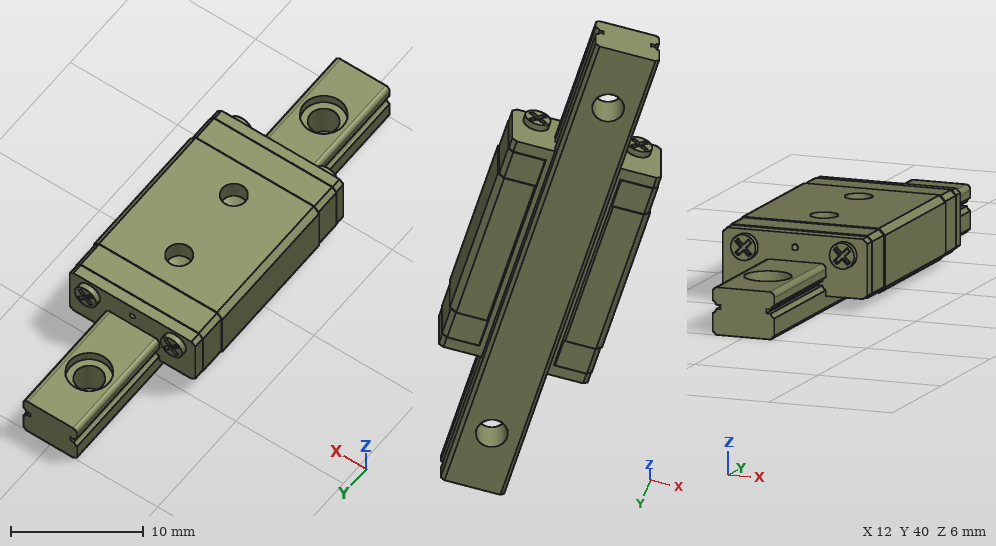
import cadquery as cq
import math

RAIL_LENGTH = 40.0
RAIL_WIDTH = 5.0
RAIL_HEIGHT = 3.7
RAIL_TOP_RADIUS = 0.4
RAIL_BOTTOM_CHAMFER = 0.3

GROOVE_Z = 2.15
GROOVE_RADIUS = 0.55
GROOVE_AXIS_OFFSET = 0.25
SLOT_HEIGHT = 0.3
SLOT_DEPTH = 0.65

RAIL_HOLE_PITCH = 30.0
RAIL_HOLE_DIAMETER = 2.4
COUNTERBORE_DIAMETER = 3.6
COUNTERBORE_DEPTH = 0.8

BLOCK_LENGTH = 12.4
CAPS_LENGTH = 17.1
PLATES_LENGTH = 18.95
BLOCK_WIDTH = 12.0
CAP_WIDTH = 11.8
PLATE_WIDTH = 11.7
CARRIAGE_TOP = 6.0
CAP_TOP = 5.9
PLATE_TOP = 5.85
BLOCK_BOTTOM = 1.0
CAP_BOTTOM = 1.1
PLATE_BOTTOM = 1.2
FACE_WIDTH = 11.0
BEVEL_HEIGHT = 0.5
SIDE_TOP = CARRIAGE_TOP - BEVEL_HEIGHT
SIDE_BOTTOM = BLOCK_BOTTOM + BEVEL_HEIGHT
MOUTH_TOP_WIDTH = 5.85
MOUTH_BOTTOM_WIDTH = 6.15

TOP_HOLE_PITCH = 7.0
TOP_HOLE_DIAMETER = 2.1
TOP_HOLE_DEPTH = 1.5
DRILL_POINT_ANGLE = 118.0

SCREWS_LENGTH = 20.0
SCREW_DIAMETER = 2.0
SCREW_PITCH = 8.0
SCREW_Z = 4.5
CROSS_LENGTH = 1.5
CROSS_WIDTH = 0.3
CROSS_DEPTH = 0.3
OIL_HOLE_DIAMETER = 0.5
OIL_HOLE_Z = 4.75


def extrude_along_y(outline, length):
    """Extrude an XZ outline symmetrically about Y = 0."""
    return outline.extrude(length / 2, both=True)


def cylinder_along_y(x, z, diameter, y_start, y_end):
    """Cylinder parallel to Y between two Y positions."""
    height = abs(y_end - y_start)
    base = cq.Workplane("XZ", origin=(x, max(y_start, y_end), z))
    return base.circle(diameter / 2).extrude(height)


def make_rail_bar():
    """Rail bar without its mounting holes."""
    half_width = RAIL_WIDTH / 2
    bar = extrude_along_y(
        cq.Workplane("XZ").center(0, RAIL_HEIGHT / 2).rect(RAIL_WIDTH, RAIL_HEIGHT), RAIL_LENGTH
    )
    bar = bar.faces(">Z").edges("|Y").fillet(RAIL_TOP_RADIUS)
    bar = bar.faces("<Z").edges("|Y").chamfer(RAIL_BOTTOM_CHAMFER)
    for side in (-1, 1):
        axis_x = side * (half_width + GROOVE_AXIS_OFFSET)
        slot_x = side * (half_width - SLOT_DEPTH / 2)
        groove = extrude_along_y(
            cq.Workplane("XZ").center(axis_x, GROOVE_Z).circle(GROOVE_RADIUS), RAIL_LENGTH
        )
        slot = extrude_along_y(
            cq.Workplane("XZ").center(slot_x, GROOVE_Z).rect(SLOT_DEPTH, SLOT_HEIGHT), RAIL_LENGTH
        )
        bar = bar.cut(groove).cut(slot)
    return bar


def make_rail(bar):
    """Rail bar with a counterbored mounting hole near each end."""
    hole_places = [(0, -RAIL_HOLE_PITCH / 2), (0, RAIL_HOLE_PITCH / 2)]
    top = cq.Workplane("XY", origin=(0, 0, RAIL_HEIGHT)).add(bar)
    return top.pushPoints(hole_places).cboreHole(
        RAIL_HOLE_DIAMETER, COUNTERBORE_DIAMETER, COUNTERBORE_DEPTH
    )


def carriage_section(width, bottom, top, length):
    """Bevelled bar; all sections share the height of their sides and the width of their faces."""
    side = width / 2
    face = FACE_WIDTH / 2
    outline = cq.Workplane("XZ").polyline(
        [
            (-face, bottom),
            (face, bottom),
            (side, SIDE_BOTTOM),
            (side, SIDE_TOP),
            (face, top),
            (-face, top),
            (-side, SIDE_TOP),
            (-side, SIDE_BOTTOM),
        ]
    ).close()
    return extrude_along_y(outline, length)


def make_top_hole(y):
    """Blind hole with a conical drill point, opening in the carriage top."""
    radius = TOP_HOLE_DIAMETER / 2
    point_depth = radius / math.tan(math.radians(DRILL_POINT_ANGLE / 2))
    shoulder_z = CARRIAGE_TOP - TOP_HOLE_DEPTH
    half_section = cq.Workplane("XZ").polyline(
        [
            (0, CARRIAGE_TOP),
            (radius, CARRIAGE_TOP),
            (radius, shoulder_z),
            (0, shoulder_z - point_depth),
        ]
    ).close()
    return half_section.revolve(360, (0, 0, 0), (0, 1, 0)).translate((0, y, 0))


def make_cross_recess(x, end):
    """Diagonal cross cut into the face of a screw head; end is -1 or 1 along Y."""
    recess_y = end * (SCREWS_LENGTH - CROSS_DEPTH) / 2
    arm = cq.Workplane("XY").box(CROSS_LENGTH, CROSS_DEPTH, CROSS_WIDTH)
    origin = (0, 0, 0)
    y_axis = (0, 1, 0)
    cross = arm.rotate(origin, y_axis, 45).union(arm.rotate(origin, y_axis, -45))
    return cross.translate((x, recess_y, SCREW_Z))


def make_mouth():
    """Flared clearance on both sides of the rail under the block and end caps."""
    top = MOUTH_TOP_WIDTH / 2
    bottom = MOUTH_BOTTOM_WIDTH / 2
    outline = cq.Workplane("XZ").polyline(
        [
            (-top, PLATE_BOTTOM),
            (top, PLATE_BOTTOM),
            (bottom, BLOCK_BOTTOM),
            (-bottom, BLOCK_BOTTOM),
        ]
    ).close()
    return extrude_along_y(outline, CAPS_LENGTH)


def make_carriage(rail_bar):
    """Carriage with end caps, end plates and screw heads, bored to the rail profile."""
    carriage = carriage_section(BLOCK_WIDTH, BLOCK_BOTTOM, CARRIAGE_TOP, BLOCK_LENGTH)
    carriage = carriage.union(carriage_section(CAP_WIDTH, CAP_BOTTOM, CAP_TOP, CAPS_LENGTH))
    carriage = carriage.union(carriage_section(PLATE_WIDTH, PLATE_BOTTOM, PLATE_TOP, PLATES_LENGTH))

    for end in (-1, 1):
        plate_face = end * PLATES_LENGTH / 2
        cap_face = end * CAPS_LENGTH / 2
        screw_face = end * SCREWS_LENGTH / 2
        for x in (-SCREW_PITCH / 2, SCREW_PITCH / 2):
            head = cylinder_along_y(x, SCREW_Z, SCREW_DIAMETER, cap_face, screw_face)
            carriage = carriage.union(head).cut(make_cross_recess(x, end))
        oil_hole = cylinder_along_y(0, OIL_HOLE_Z, OIL_HOLE_DIAMETER, cap_face, plate_face)
        carriage = carriage.cut(oil_hole)

    for y in (-TOP_HOLE_PITCH / 2, TOP_HOLE_PITCH / 2):
        carriage = carriage.cut(make_top_hole(y))

    carriage = carriage.cut(make_mouth())
    return carriage.cut(rail_bar)


rail_bar = make_rail_bar()
rail = make_rail(rail_bar)
carriage = make_carriage(rail_bar)

result = cq.Compound.makeCompound([rail.solids().val(), carriage.solids().val()])